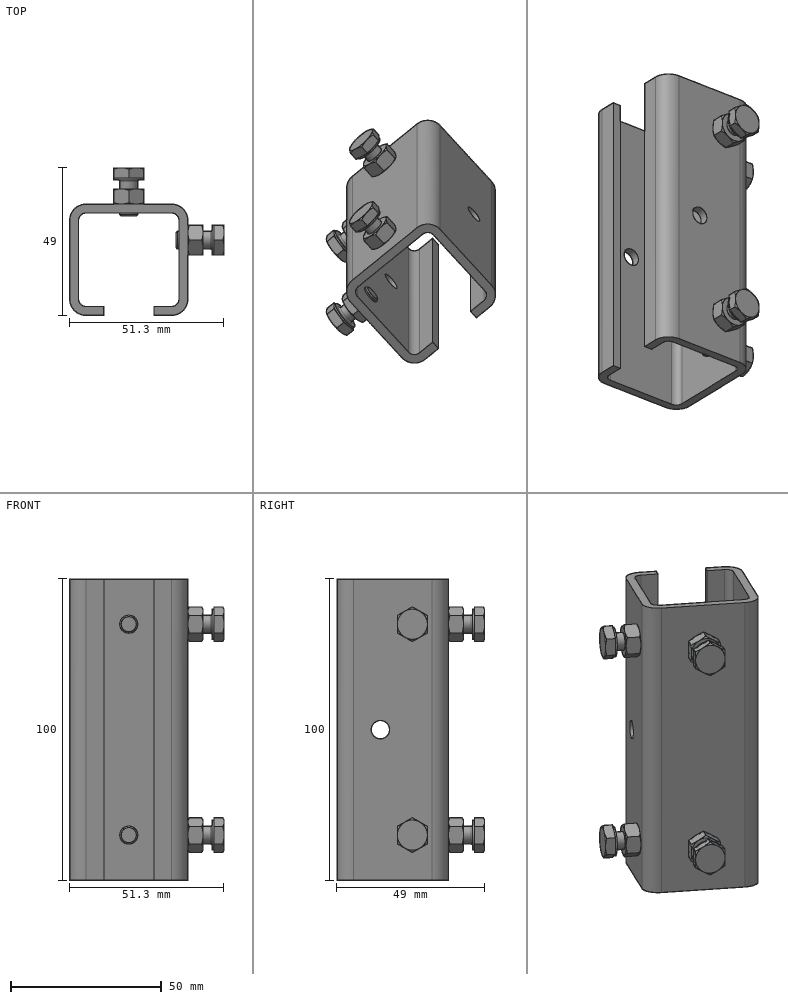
import cadquery as cq
import math

length = 100.0
width = 39.3
depth = 37.0
wall = 3.0
bend_radius = 5.5
slot_width = 16.6

cross_hole_diameter = 6.0
cross_hole_from_back = 22.6

bolt_end_offset = 15.0
side_bolt_from_back = 12.0
bolt_diameter = 6.0
bolt_reach = 12.0
tip_protrusion = 1.0
tip_chamfer = 0.5
across_flats = 10.0
nut_height = 5.0
head_height = 4.0
washer_face_height = 0.6
washer_face_diameter = 10.0
underhead_radius = 0.5
hex_bevel_angle = 30.0

across_corners = across_flats / math.cos(math.radians(30))
bevel_run = (across_corners - across_flats) / 2
bevel_rise = bevel_run * math.tan(math.radians(hex_bevel_angle))
back_y = depth / 2
side_x = width / 2


def make_channel():
    """Rounded rectangular tube with a slot along the whole -Y wall."""
    outer = cq.Workplane("XY").rect(width, depth).extrude(length).edges("|Z").fillet(bend_radius)
    inner = (
        cq.Workplane("XY")
        .rect(width - 2 * wall, depth - 2 * wall)
        .extrude(length)
        .edges("|Z")
        .fillet(bend_radius - wall)
    )
    slot = cq.Workplane("XY").center(0, -back_y).rect(slot_width, 2 * wall).extrude(length)
    cross_hole = (
        cq.Workplane("YZ")
        .center(back_y - cross_hole_from_back, length / 2)
        .circle(cross_hole_diameter / 2)
        .extrude(width, both=True)
    )
    return outer.cut(inner).cut(slot).cut(cross_hole)


def hex_prism(bottom, height, bevel_bottom):
    """Hexagon along Z with corners on the Y axis and conical corner bevels."""
    prism = (
        cq.Workplane("XY", origin=(0, 0, bottom))
        .polygon(6, across_corners)
        .extrude(height)
        .rotate((0, 0, 0), (0, 0, 1), 90)
    )
    beveled_ends = ">Z or <Z" if bevel_bottom else ">Z"
    envelope = (
        cq.Workplane("XY", origin=(0, 0, bottom))
        .circle(across_corners / 2)
        .extrude(height)
        .faces(beveled_ends)
        .chamfer(bevel_rise, bevel_run)
    )
    return prism.intersect(envelope)


def make_bolt():
    """Bolt and nut along Z, with the channel's outer face at Z = 0 and the head on +Z."""
    tip = -wall - tip_protrusion
    head_bottom = bolt_reach - head_height
    shank = (
        cq.Workplane("XY", origin=(0, 0, tip))
        .circle(bolt_diameter / 2)
        .extrude(bolt_reach - tip)
        .faces("<Z")
        .chamfer(tip_chamfer)
    )
    washer_face = (
        cq.Workplane("XY", origin=(0, 0, head_bottom))
        .circle(washer_face_diameter / 2)
        .extrude(washer_face_height)
    )
    nut = hex_prism(0, nut_height, True)
    head = hex_prism(head_bottom + washer_face_height, head_height - washer_face_height, False)
    underhead_edge = cq.selectors.RadiusNthSelector(0)
    screw = shank.union(washer_face).faces("<Z[-2]").edges(underhead_edge).fillet(underhead_radius)
    return screw.union(nut).union(head)


bolt = make_bolt()
back_bolt = bolt.rotate((0, 0, 0), (1, 0, 0), -90).translate((0, back_y, 0))
side_bolt = back_bolt.translate((0, -back_y, 0)).rotate((0, 0, 0), (0, 0, 1), -90)
side_bolt = side_bolt.translate((side_x, back_y - side_bolt_from_back, 0))

result = make_channel()
for bolt_z in (bolt_end_offset, length - bolt_end_offset):
    result = result.union(back_bolt.translate((0, 0, bolt_z)))
    result = result.union(side_bolt.translate((0, 0, bolt_z)))